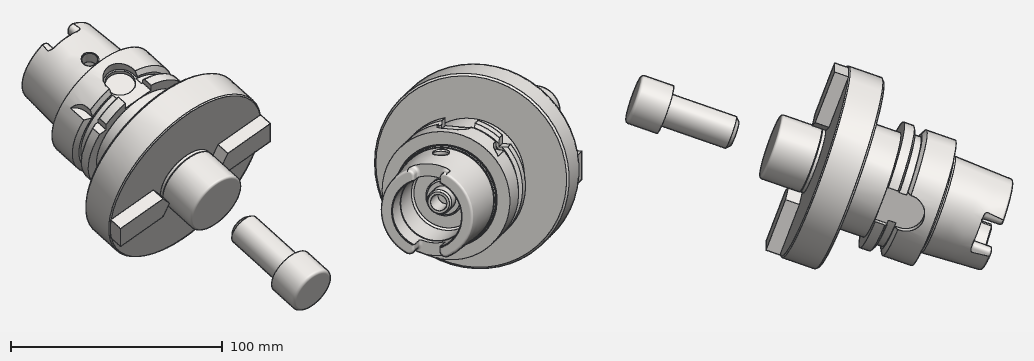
import cadquery as cq
import math


shank_length = 32.0
taper_gauge_radius = 24.0
taper_gauge_x = -6.3
taper_slope = 0.05
shank_end_fillet = 1.2

undercut_length = 2.3
undercut_depth = 0.3
undercut_face_depth = 0.3
undercut_outer_radius = 25.2
undercut_ramp = 0.8
undercut_corner_cut = 0.5

flange_radius = 31.5
flange_end_x = 26.0
groove_radius = 27.5
groove_start_x = 16.2
groove_end_x = 20.0
groove_left_flank_width = 1.6
groove_right_flank_width = 1.1
groove_flank_slope = math.tan(math.radians(60))

neck_radius = 26.25
disc_radius = 48.0
disc_start_x = 42.0
disc_end_x = 60.0
disc_left_chamfer = 1.0
disc_right_chamfer = 0.6
stub_radius = 16.0
stub_end_x = 82.0
stub_relief_radius = 15.8
stub_relief_width = 2.0
stub_relief_ramp = 0.4
stub_end_fillet = 1.2

bore_radius = 17.0
bore_mouth_chamfer = 0.4
bore_step_x = -19.0
bore_inner_radius = 16.8
bore_floor_x = 0.0
bore_floor_radius = 15.8

tube_base_radius = 9.0
tube_base_tip_radius = 8.25
tube_base_height = 4.0
tube_radius = 6.0
tube_tip_radius = 5.3
tube_tip_x = -12.2
tube_chamfer_length = 1.45
tube_hole_radius = 4.0

drive_slot_half_width = 6.27
drive_slot_flare_radius = 2.5
drive_slot_flare_start = 18.1
drive_slot_floor_fillet = 1.5
upper_drive_slot_depth = 6.0
lower_drive_slot_depth = 10.0

access_hole_x = -8.6
access_hole_radius = 3.75
access_hole_rim_radius = 4.4
access_hole_rim_depth = 0.65

keyway_start_x = 5.0
keyway_floor = 26.5
upper_keyway_width = 16.17
lower_keyway_width = 18.0
pocket_radius = 7.25
pocket_depth = 2.0
notch_offset = 20.1
notch_cutter_radius = 8.0
notch_straight_x = 12.2

key_height = 14.0
key_projection = 7.0
key_shoulder_y = 20.4
key_outer_y = 47.2
key_point_angle = 120.0

screw_tip_x = 100.0
screw_length = 35.0
screw_radius = 8.0
screw_tip_chamfer = 2.0
screw_head_length = 16.0
screw_head_radius = 12.0
screw_head_fillet = 1.6


def taper_radius(x):
    """Outer radius of the taper at a place along the axis."""
    return taper_gauge_radius + (x - taper_gauge_x) * taper_slope


def revolve_about_x(points):
    """Turn a closed (x, radius) outline around the X axis."""
    return cq.Workplane("XY").polyline(points).close().revolve(360, (0, 0, 0), (1, 0, 0))


def turned_blank():
    undercut_start_radius = taper_radius(-undercut_length)
    undercut_radius = undercut_start_radius - undercut_depth
    left_flank_bottom = flange_radius - groove_left_flank_width * groove_flank_slope
    right_flank_bottom = flange_radius - groove_right_flank_width * groove_flank_slope
    return revolve_about_x([
        (-shank_length, 0),
        (-shank_length, taper_radius(-shank_length)),
        (-undercut_length, undercut_start_radius),
        (-undercut_length + undercut_ramp, undercut_radius),
        (undercut_face_depth - undercut_corner_cut, undercut_radius),
        (undercut_face_depth, undercut_radius + undercut_corner_cut),
        (undercut_face_depth, undercut_outer_radius - undercut_face_depth),
        (0, undercut_outer_radius),
        (0, flange_radius),
        (groove_start_x - groove_left_flank_width, flange_radius),
        (groove_start_x, left_flank_bottom),
        (groove_start_x, groove_radius),
        (groove_end_x, groove_radius),
        (groove_end_x, right_flank_bottom),
        (groove_end_x + groove_right_flank_width, flange_radius),
        (flange_end_x, flange_radius),
        (flange_end_x, neck_radius),
        (disc_start_x, neck_radius),
        (disc_start_x, disc_radius - disc_left_chamfer),
        (disc_start_x + disc_left_chamfer, disc_radius),
        (disc_end_x - disc_right_chamfer, disc_radius),
        (disc_end_x, disc_radius - disc_right_chamfer),
        (disc_end_x, stub_relief_radius),
        (disc_end_x + stub_relief_width - stub_relief_ramp, stub_relief_radius),
        (disc_end_x + stub_relief_width, stub_radius),
        (stub_end_x, stub_radius),
        (stub_end_x, 0),
    ]).faces(">X").edges().fillet(stub_end_fillet)


def bore_cutter():
    """Space inside the shank, around the coolant tube and inside it."""
    bore_step = bore_radius - bore_inner_radius
    floor_chamfer = bore_inner_radius - bore_floor_radius
    tube_base_chamfer = tube_base_radius - tube_base_tip_radius
    tube_base_tip_x = bore_floor_x - tube_base_height
    return revolve_about_x([
        (-shank_length, 0),
        (-shank_length, bore_radius + bore_mouth_chamfer),
        (-shank_length + bore_mouth_chamfer, bore_radius),
        (bore_step_x, bore_radius),
        (bore_step_x + bore_step, bore_inner_radius),
        (bore_floor_x - floor_chamfer, bore_inner_radius),
        (bore_floor_x, bore_floor_radius),
        (bore_floor_x, tube_base_radius),
        (tube_base_tip_x + tube_base_chamfer, tube_base_radius),
        (tube_base_tip_x, tube_base_tip_radius),
        (tube_base_tip_x, tube_radius),
        (tube_tip_x + tube_chamfer_length, tube_radius),
        (tube_tip_x, tube_tip_radius),
        (tube_tip_x, tube_hole_radius),
        (bore_floor_x, tube_hole_radius),
        (bore_floor_x, 0),
    ])


def drive_slot_cutter(depth):
    """Slot on the +Z side whose walls curve outward toward the taper surface."""
    bottom = bore_radius / 2
    top = taper_gauge_radius + drive_slot_flare_radius
    flare_end_y = drive_slot_half_width + drive_slot_flare_radius
    side_y = flare_end_y + drive_slot_flare_radius
    flare_end_z = drive_slot_flare_start + drive_slot_flare_radius
    arc_step = drive_slot_flare_radius * math.sqrt(0.5)
    arc_mid_y = flare_end_y - arc_step
    arc_mid_z = drive_slot_flare_start + arc_step
    slot = (
        cq.Workplane("YZ", origin=(-shank_length, 0, 0))
        .moveTo(-drive_slot_half_width, bottom)
        .lineTo(drive_slot_half_width, bottom)
        .lineTo(drive_slot_half_width, drive_slot_flare_start)
        .threePointArc((arc_mid_y, arc_mid_z), (flare_end_y, flare_end_z))
        .lineTo(side_y, flare_end_z)
        .lineTo(side_y, top)
        .lineTo(-side_y, top)
        .lineTo(-side_y, flare_end_z)
        .lineTo(-flare_end_y, flare_end_z)
        .threePointArc((-arc_mid_y, arc_mid_z), (-drive_slot_half_width, drive_slot_flare_start))
        .close()
        .extrude(depth)
    )
    return slot.faces(">X").edges().fillet(drive_slot_floor_fillet)


def access_hole_cutter():
    """Radial hole with a conical rim, on the +Z side."""
    surface_z = taper_radius(access_hole_x)
    rim_bottom_z = surface_z - access_hole_rim_depth
    return (
        cq.Workplane("XZ", origin=(access_hole_x, 0, 0))
        .moveTo(0, tube_radius)
        .lineTo(access_hole_radius, tube_radius)
        .lineTo(access_hole_radius, rim_bottom_z)
        .lineTo(access_hole_rim_radius, surface_z)
        .lineTo(access_hole_rim_radius, flange_radius)
        .lineTo(0, flange_radius)
        .close()
        .revolve(360, (0, 0, 0), (0, 1, 0))
    )


def keyway_cutter(width):
    """Round-ended keyway on the +Z side, open toward the neck."""
    end_radius = width / 2
    round_center_x = keyway_start_x + end_radius
    return (
        cq.Workplane("XY", origin=(0, 0, keyway_floor))
        .moveTo(flange_end_x, -end_radius)
        .lineTo(round_center_x, -end_radius)
        .threePointArc((keyway_start_x, 0), (round_center_x, end_radius))
        .lineTo(flange_end_x, end_radius)
        .close()
        .extrude(flange_radius - keyway_floor)
    )


def pocket_cutter():
    """Shallow round pocket in the floor of the upper keyway."""
    pocket_x = keyway_start_x + upper_keyway_width / 2
    return (
        cq.Workplane("XY", origin=(pocket_x, 0, keyway_floor - pocket_depth))
        .circle(pocket_radius)
        .extrude(flange_radius - keyway_floor + pocket_depth)
    )


def orientation_notch_cutter():
    """Right-angled notch between -Y and +Z, with one end rounded by a milling cutter along Z."""
    cutter_center_y = -notch_offset - notch_cutter_radius
    return (
        cq.Workplane("XY", origin=(0, 0, notch_offset))
        .moveTo(flange_end_x, -notch_offset)
        .lineTo(notch_straight_x, -notch_offset)
        .radiusArc((notch_straight_x - notch_cutter_radius, cutter_center_y), -notch_cutter_radius)
        .lineTo(flange_end_x, cutter_center_y)
        .close()
        .extrude(flange_radius - notch_offset)
    )


def drive_key():
    """Key on the +Y side of the disc face, pointed toward the stub."""
    half_height = key_height / 2
    point_length = half_height / math.tan(math.radians(key_point_angle / 2))
    return (
        cq.Workplane("YZ", origin=(disc_end_x, 0, 0))
        .polyline([
            (key_shoulder_y - point_length, 0),
            (key_shoulder_y, half_height),
            (key_outer_y, half_height),
            (key_outer_y, -half_height),
            (key_shoulder_y, -half_height),
        ])
        .close()
        .extrude(key_projection)
    )


def half_turn(shape):
    """Carry a shape to the opposite side of the X axis."""
    return shape.rotate((0, 0, 0), (1, 0, 0), 180)


def slotted_blank():
    """Solid blank with the drive slots, its end face rounded along the taper and the slots."""
    return (
        turned_blank()
        .cut(drive_slot_cutter(upper_drive_slot_depth))
        .cut(half_turn(drive_slot_cutter(lower_drive_slot_depth)))
        .faces("<X")
        .edges()
        .fillet(shank_end_fillet)
    )


def tool_holder():
    body = slotted_blank().union(drive_key()).union(half_turn(drive_key()))
    cutters = [
        bore_cutter(),
        access_hole_cutter(),
        keyway_cutter(upper_keyway_width),
        half_turn(keyway_cutter(lower_keyway_width)),
        pocket_cutter(),
        orientation_notch_cutter(),
    ]
    for cutter in cutters:
        body = body.cut(cutter)
    return body


def clamping_screw():
    head_start_x = screw_tip_x + screw_length
    head_end_x = head_start_x + screw_head_length
    return revolve_about_x([
        (screw_tip_x, 0),
        (screw_tip_x, screw_radius - screw_tip_chamfer),
        (screw_tip_x + screw_tip_chamfer, screw_radius),
        (head_start_x, screw_radius),
        (head_start_x, screw_head_radius),
        (head_end_x, screw_head_radius),
        (head_end_x, 0),
    ]).faces(">X").edges().fillet(screw_head_fillet)


holder = tool_holder()
screw = clamping_screw()
result = cq.Compound.makeCompound([holder.val(), screw.val()])